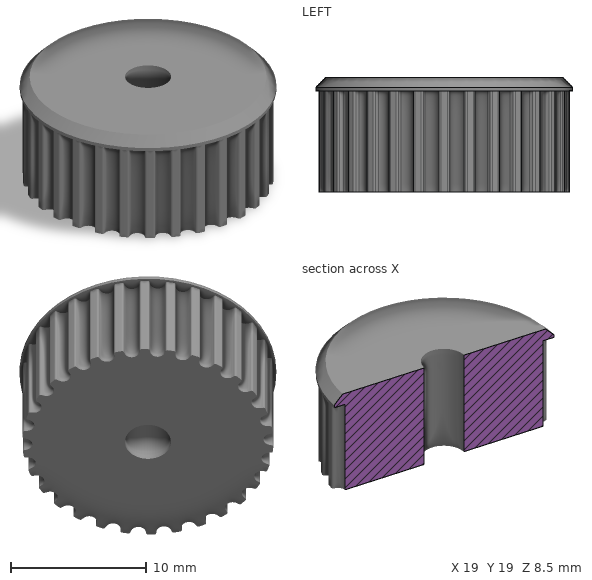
import cadquery as cq
import math


flange_diameter = 19.0
flange_thickness = 1.0
flange_chamfer = 0.75
total_height = 8.5
bore_diameter = 3.4

tooth_count = 30
rim_diameter = 18.58
groove_depth = 0.75
groove_bottom_radius = 0.55
flank_center_offset = 0.4
tip_radius = 0.15

rim_radius = rim_diameter / 2
rim_height = total_height - flange_thickness
groove_pitch = 360 / tooth_count
first_groove_angle = 90


def point_toward(start, target, distance):
    """Point at the given distance from start, in the direction of target."""
    length = math.dist(start, target)
    return tuple(s + (t - s) * distance / length for s, t in zip(start, target))


def arc_middle(center, start, end):
    """Middle of the short circular arc from start to end about center."""
    chord_middle = ((start[0] + end[0]) / 2, (start[1] + end[1]) / 2)
    return point_toward(center, chord_middle, math.dist(center, start))


def groove_half():
    """Points from the land edge to the groove bottom, for the side with positive second coordinate.

    The first coordinate runs radially outward along the groove, the second across it.
    Even positions are arc ends and odd positions are arc middles; the groove bottom comes last.
    """
    axis = (0, 0)
    bottom_center = (rim_radius - groove_depth + groove_bottom_radius, 0)
    flank_center = (rim_radius, -flank_center_offset)
    flank_radius = groove_bottom_radius + math.dist(flank_center, bottom_center)

    from_axis = rim_radius - tip_radius
    from_flank = flank_radius + tip_radius
    axis_to_flank = math.dist(axis, flank_center)
    cos_at_axis = (from_axis**2 + axis_to_flank**2 - from_flank**2) / (2 * from_axis * axis_to_flank)
    tip_angle = math.acos(cos_at_axis) - math.atan2(flank_center_offset, rim_radius)
    tip_center = (from_axis * math.cos(tip_angle), from_axis * math.sin(tip_angle))

    land_edge = point_toward(axis, tip_center, rim_radius)
    flank_top = point_toward(flank_center, tip_center, flank_radius)
    flank_foot = point_toward(flank_center, bottom_center, flank_radius)
    groove_bottom = (rim_radius - groove_depth, 0)
    return [
        land_edge,
        arc_middle(tip_center, land_edge, flank_top),
        flank_top,
        arc_middle(flank_center, flank_top, flank_foot),
        flank_foot,
        groove_bottom,
    ]


def rotated(point, degrees):
    """Point turned about the pulley axis."""
    angle = math.radians(degrees)
    x, y = point
    return (
        x * math.cos(angle) - y * math.sin(angle),
        x * math.sin(angle) + y * math.cos(angle),
    )


def make_toothed_rim():
    """Extruded outline of all grooves, joined by lands that follow the rim circle."""
    half = groove_half()
    mirrored_half = [(x, -y) for x, y in half]
    groove = mirrored_half + half[-2::-1]
    land_middle = rotated((rim_radius, 0), groove_pitch / 2)
    next_groove_start = rotated(groove[0], groove_pitch)
    tooth_points = groove + [land_middle, next_groove_start]

    outline = cq.Workplane("XY").moveTo(*rotated(groove[0], first_groove_angle))
    for index in range(tooth_count):
        turn = first_groove_angle + index * groove_pitch
        turned = [rotated(point, turn) for point in tooth_points]
        for middle, end in zip(turned[1::2], turned[2::2]):
            outline = outline.threePointArc(middle, end)
    return outline.close().extrude(rim_height)


def make_flange():
    """End disc with its outer top edge chamfered."""
    rim_top = cq.Workplane("XY").workplane(offset=rim_height)
    disc = rim_top.circle(flange_diameter / 2).extrude(flange_thickness)
    return disc.faces(">Z").edges().chamfer(flange_chamfer)


bore = cq.Workplane("XY").circle(bore_diameter / 2).extrude(total_height)

result = make_toothed_rim().union(make_flange()).cut(bore)